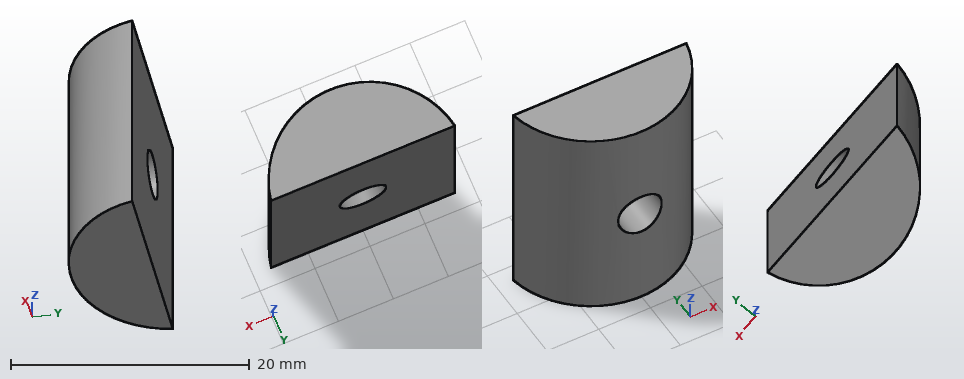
import cadquery as cq

height = 20.0
round_radius = 8.5
depth = 7.0
hole_diameter = 4.2

flat_y = depth - round_radius
cylinder = cq.Workplane("XY").circle(round_radius).extrude(height)
keep_block = (
    cq.Workplane("XY")
    .box(2 * round_radius, depth, height, centered=(True, False, False))
    .translate((0, -round_radius, 0))
)
segment = cylinder.intersect(keep_block)

hole = (
    cq.Workplane("XZ", origin=(0, flat_y, height / 2))
    .circle(hole_diameter / 2)
    .extrude(depth)
)

result = segment.cut(hole)